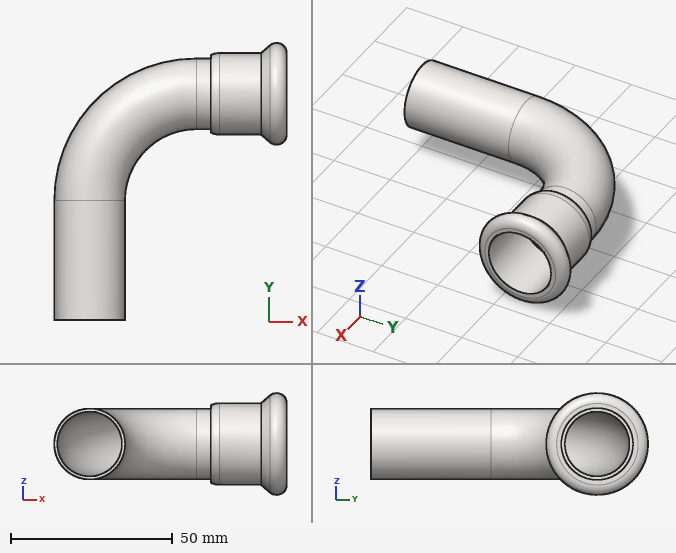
import math
import cadquery as cq

overall_x = 72.0
overall_y = 85.8

tube_radius = 22.0 / 2
tube_bore_radius = 20.0 / 2
bend_radius = 1.5 * 2 * tube_radius

socket_radius = 25.3 / 2
socket_bore_radius = 22.2 / 2
shoulder_radius = 12.0
shoulder_round_length = 2.6
body_length = 12.95
bead_outer_radius = 31.6 / 2
bead_round = 3.2
flare_to_mouth = 8.0

mouth_x = overall_x - tube_radius
flare_x = mouth_x - flare_to_mouth
body_x = flare_x - body_length
shoulder_x = body_x - shoulder_round_length
leg_end_y = bead_outer_radius - overall_y


def bent_rod(radius):
    """Solid rod along the plain leg, round the bend and up to the socket body."""
    path = (
        cq.Workplane("XY")
        .moveTo(0, leg_end_y)
        .lineTo(0, -bend_radius)
        .radiusArc((bend_radius, 0), bend_radius)
        .lineTo(body_x, 0)
    )
    return cq.Workplane("XZ", origin=(0, leg_end_y, 0)).circle(radius).sweep(path)


def shoulder_arc_middle():
    """Point on the shoulder arc, which runs tangent into the socket cylinder."""
    rise = socket_radius - shoulder_radius
    arc_radius = (shoulder_round_length**2 + rise**2) / (2 * rise)
    half_angle = math.asin(shoulder_round_length / arc_radius) / 2
    return (
        body_x - arc_radius * math.sin(half_angle),
        socket_radius - arc_radius * (1 - math.cos(half_angle)),
    )


def bead_point(angle):
    """Point on the bead's round, with the angle measured from +X."""
    center_x = mouth_x - bead_round
    center_y = bead_outer_radius - bead_round
    return (center_x + bead_round * math.cos(angle), center_y + bead_round * math.sin(angle))


def flare_tangent_angle():
    """Angle on the bead's round where the conical flare meets it tangentially."""
    offset_x = flare_x - (mouth_x - bead_round)
    offset_y = socket_radius - (bead_outer_radius - bead_round)
    distance = math.hypot(offset_x, offset_y)
    to_flare_foot = math.atan2(offset_y, offset_x) % (2 * math.pi)
    return to_flare_foot - math.acos(bead_round / distance)


def solid_socket():
    """Socket outline turned about the X axis."""
    tangent_angle = flare_tangent_angle()
    return (
        cq.Workplane("XY")
        .moveTo(shoulder_x, 0)
        .lineTo(shoulder_x, shoulder_radius)
        .threePointArc(shoulder_arc_middle(), (body_x, socket_radius))
        .lineTo(flare_x, socket_radius)
        .lineTo(*bead_point(tangent_angle))
        .threePointArc(bead_point(tangent_angle / 2), bead_point(0))
        .lineTo(mouth_x, 0)
        .close()
        .revolve(360, (0, 0, 0), (1, 0, 0))
    )


def socket_bore():
    """Wider bore from the tube stop to the open mouth."""
    bore_plane = cq.Workplane("YZ", origin=(body_x, 0, 0))
    return bore_plane.circle(socket_bore_radius).extrude(mouth_x - body_x)


elbow = (
    bent_rod(tube_radius)
    .union(solid_socket())
    .cut(bent_rod(tube_bore_radius))
    .cut(socket_bore())
)

result = cq.Compound.makeCompound([elbow.val()])